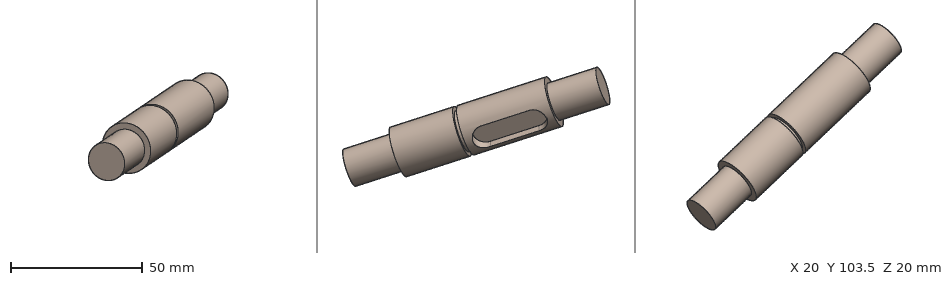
import cadquery as cq

total_length = 103.5
journal_length = 20.0
journal_diameter = 15.0
body_diameter = 20.0

groove_diameter = 16.5
groove_width = 1.6
front_body_length = 26.0

keyway_length = 30.0
keyway_width = 10.0
keyway_depth = 5.0

front_end = -total_length / 2
body_front = front_end + journal_length
body_rear = total_length / 2 - journal_length
groove_front = body_front + front_body_length
groove_rear = groove_front + groove_width
keyway_center = (groove_rear + body_rear) / 2


def cylinder_along_y(diameter, start, end):
    """Solid cylinder on the Y axis between two Y positions."""
    section = cq.Workplane("XZ", origin=(0, start, 0)).circle(diameter / 2)
    return section.extrude(start - end)


def make_shaft():
    """Full-length core with two body sections separated by the groove."""
    shaft = cylinder_along_y(journal_diameter, front_end, -front_end)
    shaft = shaft.union(cylinder_along_y(body_diameter, body_front, groove_front))
    shaft = shaft.union(cylinder_along_y(groove_diameter, groove_front, groove_rear))
    return shaft.union(cylinder_along_y(body_diameter, groove_rear, body_rear))


def make_keyway():
    """Cutter for the keyway, with its long side along Y."""
    bottom = cq.Workplane("XY", origin=(0, keyway_center, -body_diameter / 2))
    return bottom.slot2D(keyway_length, keyway_width, angle=90).extrude(keyway_depth)


result = make_shaft().cut(make_keyway())